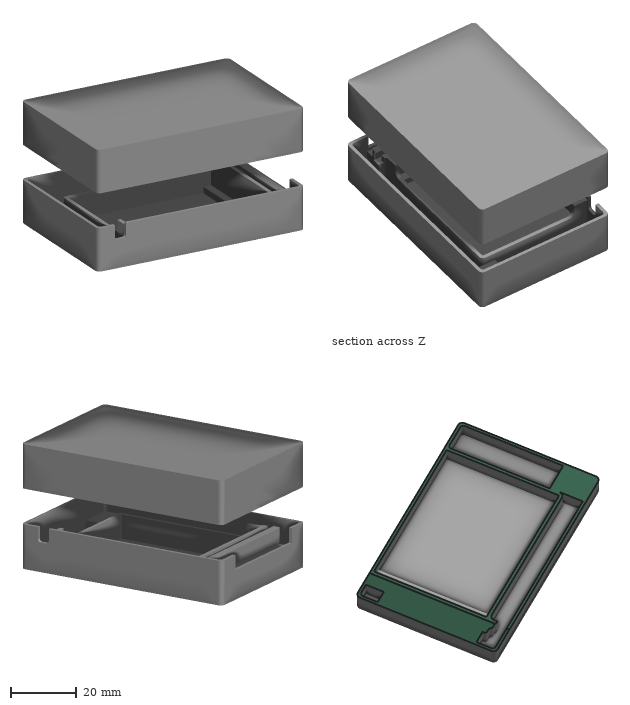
import cadquery as cq

LENGTH = 72.5
WIDTH = 47.8
TOTAL_HEIGHT = 40.0
SHELL_HEIGHT = 14.3
WALL = 1.1
FLOOR_Z = WALL
CORNER_DIAMETER = 3.0
CORNER_RADIUS = CORNER_DIAMETER / 2
INNER_CORNER_RADIUS = 1.0

X_MAX = WIDTH / 2
X_MIN = -X_MAX
Y_MAX = LENGTH / 2
Y_MIN = -Y_MAX
INNER_X_MAX = X_MAX - WALL
INNER_X_MIN = -INNER_X_MAX
INNER_Y_MAX = Y_MAX - WALL
INNER_Y_MIN = -INNER_Y_MAX

SPLIT_Y = 26.75

TRAY_X = -16.6
TRAY_Y = -25.95
TRAY_WALL = 1.2
TRAY_CORNER_RADIUS = CORNER_RADIUS
TRAY_INNER_RADIUS = TRAY_CORNER_RADIUS - TRAY_WALL
LIP_Z = 8.85
POST_Z = 13.2
POST_FILLET = 2.0
SIDE_POST_Y = 20.4
FRONT_POST_X = 17.8

END_WALL_Y = 25.45
FLANGE_X = -19.2
SILL_X = -17.4
SILL_Z = 11.1
SIDE_JOINT_RADIUS = CORNER_RADIUS
FRONT_JOINT_RADIUS = 0.7

STEP_Y = 22.7
STEP_Z = 3.2

PAD_X = -11.6
PAD_Z = 6.15

OPENING_Z = 9.5
OPENING_FILLET = 1.0
SIDE_OPENING_Y_MAX = -26.25
SIDE_OPENING_WIDTH = 3.9

END_OPENING_WIDTH = 32.6
SHELF_WIDTH = 33.8
SHELF_Z = 8.3

SLOT_WIDTH = 1.8
SLOT_Z = 10.65
CROSS_WALL_THICKNESS = 2.55
CROSS_WALL_X = -18.1
CROSS_WALL_ROUND = 0.8


def block(x_range, y_range, z_range):
    """Box between the (low, high) limits given for each axis."""
    low_corner, high_corner = zip(x_range, y_range, z_range)
    sizes = [high - low for low, high in zip(low_corner, high_corner)]
    return cq.Workplane("XY").box(*sizes, centered=False).translate(low_corner)


def whole_shell():
    """One half of the case: a box open at the top."""
    outside = block((X_MIN, X_MAX), (Y_MIN, Y_MAX), (0, SHELL_HEIGHT))
    cavity = block((INNER_X_MIN, INNER_X_MAX), (INNER_Y_MIN, INNER_Y_MAX), (FLOOR_Z, SHELL_HEIGHT))
    outside = outside.edges("|Z").fillet(CORNER_RADIUS)
    return outside.cut(cavity.edges("|Z").fillet(INNER_CORNER_RADIUS))


def main_shell():
    return whole_shell().intersect(block((X_MIN, X_MAX), (Y_MIN, SPLIT_Y), (0, SHELL_HEIGHT)))


def cap_shell():
    return whole_shell().intersect(block((X_MIN, X_MAX), (SPLIT_Y, Y_MAX), (0, SHELL_HEIGHT)))


def tray():
    walls = block((TRAY_X, INNER_X_MAX), (TRAY_Y, SPLIT_Y), (FLOOR_Z, POST_Z))
    walls = walls.edges("|Z and <X and <Y").fillet(TRAY_CORNER_RADIUS)
    pocket = block((TRAY_X + TRAY_WALL, INNER_X_MAX), (TRAY_Y + TRAY_WALL, END_WALL_Y), (FLOOR_Z, POST_Z))
    pocket = pocket.edges("|Z and <X and <Y").fillet(TRAY_INNER_RADIUS)
    lowering = block((TRAY_X, FRONT_POST_X), (TRAY_Y, SIDE_POST_Y), (LIP_Z, POST_Z))
    lowering = lowering.edges("(<Z and >X) or (<Z and >Y)").fillet(POST_FILLET)
    step = block((TRAY_X + TRAY_WALL, INNER_X_MAX), (STEP_Y, END_WALL_Y), (FLOOR_Z, STEP_Z))
    return walls.cut(pocket).cut(lowering).union(step)


def joint(corner_x, corner_y, radius):
    """Concave upright fillet filling the corner whose open side faces -X and -Y."""
    filler = block((corner_x - radius, corner_x), (corner_y - radius, corner_y), (FLOOR_Z, POST_Z))
    hollow = cq.Workplane("XY").center(corner_x - radius, corner_y - radius).circle(radius).extrude(POST_Z)
    return filler.cut(hollow)


def end_flange():
    flange = block((FLANGE_X, TRAY_X), (END_WALL_Y, SPLIT_Y), (FLOOR_Z, POST_Z))
    flange = flange.union(joint(TRAY_X, END_WALL_Y, SIDE_JOINT_RADIUS))
    notch = block((FLANGE_X, SILL_X), (END_WALL_Y - SIDE_JOINT_RADIUS, SPLIT_Y), (SILL_Z, POST_Z))
    return flange.cut(notch)


def side_opening():
    opening = block(
        (INNER_X_MAX - FRONT_JOINT_RADIUS, X_MAX),
        (SIDE_OPENING_Y_MAX - SIDE_OPENING_WIDTH, SIDE_OPENING_Y_MAX),
        (OPENING_Z, SHELL_HEIGHT),
    )
    return opening.edges("|X and <Z").fillet(OPENING_FILLET)


def corner_pad():
    pad = block((INNER_X_MIN, PAD_X), (INNER_Y_MIN, TRAY_Y), (FLOOR_Z, PAD_Z))
    return pad.edges("|Z and <X and <Y").fillet(INNER_CORNER_RADIUS)


def lower_main():
    body = main_shell().union(tray()).union(end_flange()).union(corner_pad())
    body = body.union(joint(INNER_X_MAX, TRAY_Y, FRONT_JOINT_RADIUS))
    return body.cut(side_opening())


def cross_wall():
    """Wall across the cap, its -X end rounded at the back and flared out at the front."""
    wall_front = SPLIT_Y + SLOT_WIDTH
    wall_back = wall_front + CROSS_WALL_THICKNESS
    flare_x = CROSS_WALL_X - CROSS_WALL_ROUND
    wall = (
        cq.Workplane("XY", origin=(0, 0, FLOOR_Z))
        .moveTo(INNER_X_MAX, wall_front)
        .lineTo(flare_x, wall_front)
        .radiusArc((CROSS_WALL_X, wall_front + CROSS_WALL_ROUND), -CROSS_WALL_ROUND)
        .lineTo(CROSS_WALL_X, wall_back - CROSS_WALL_ROUND)
        .radiusArc((CROSS_WALL_X + CROSS_WALL_ROUND, wall_back), CROSS_WALL_ROUND)
        .lineTo(INNER_X_MAX, wall_back)
        .close()
        .extrude(POST_Z - FLOOR_Z)
    )
    slot_floor = block((flare_x, INNER_X_MAX), (SPLIT_Y, wall_front), (FLOOR_Z, SLOT_Z))
    return wall.union(slot_floor)


def lower_cap():
    shelf = block((-SHELF_WIDTH / 2, SHELF_WIDTH / 2), (SPLIT_Y, INNER_Y_MAX), (FLOOR_Z, SHELF_Z))
    half_opening = END_OPENING_WIDTH / 2
    opening = block((-half_opening, half_opening), (INNER_Y_MAX, Y_MAX), (OPENING_Z, SHELL_HEIGHT))
    return cap_shell().union(shelf).union(cross_wall()).cut(opening)


def turned_over(shell):
    """The shell flipped to the top of the envelope, open side down."""
    return shell.mirror("XY").translate((0, 0, TOTAL_HEIGHT))


lower_shell = lower_main()
lower_end_cap = lower_cap()
upper_shell = turned_over(main_shell())
upper_end_cap = turned_over(cap_shell())

result = cq.Compound.makeCompound(
    [
        lower_shell.solids().val(),
        lower_end_cap.solids().val(),
        upper_shell.solids().val(),
        upper_end_cap.solids().val(),
    ]
)